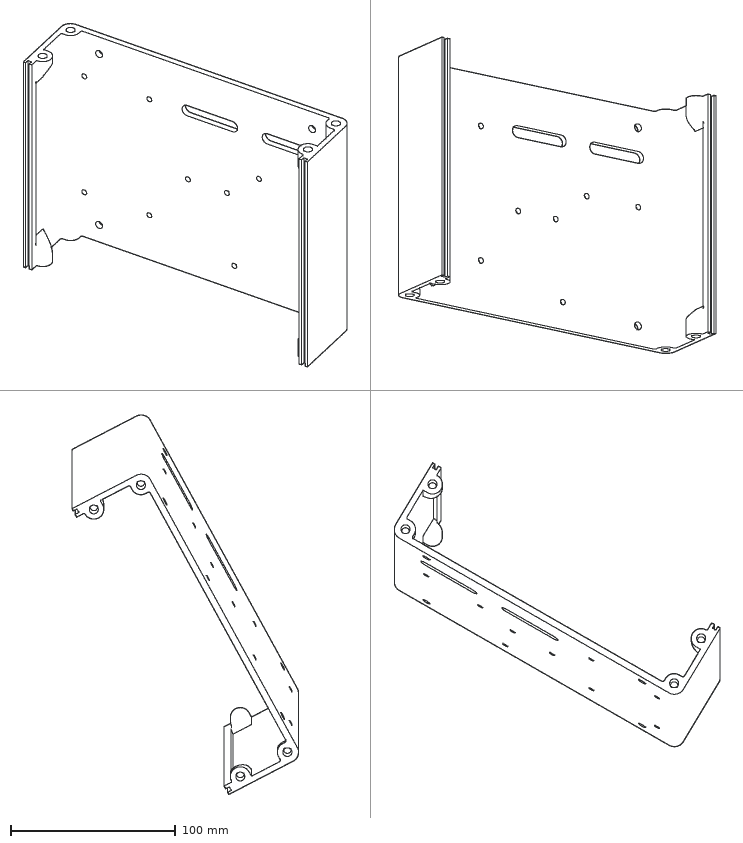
import cadquery as cq
import math

width = 203.2
depth = 50.8
height = 152.5
wall = 3.7
plate = 4.0
outer_radius = 6.3
inner_radius = 2.5

lip_width = 6.0
lip_depth = 4.9
groove_inset = 1.6
groove_width = 2.5
groove_depth = 2.6

boss_radius = 6.0
boss_inset = 6.7
boss_fillet = 1.0
boss_rounding = 1.0
screw_diameter = 5.5
screw_end_diameter = 4.5
screw_depth = 6.0
drill_angle = 118.0
left_tip_length = 3.9
left_slope = 60.0
right_tip_length = 10.5
right_slope = 43.0

mount_diameter = 4.9
mount_spacing_x = 152.5
mount_spacing_z = 127.0
small_diameter = 3.5
small_grid_x = (-86.8, -40.2)
small_grid_z = 43.0
upper_pair = ((38.2, 12.5), (76.5, 12.5))
middle_pair = ((-12.5, -6.3), (15.2, -6.3))
lower_hole = (20.5, -58.5)
slot_length = 39.6
slot_width = 7.5
slot_centres = ((3.0, 44.5), (60.4, 44.5))

SLOPED = "not (#Z or |Z)"

half_width = width / 2
half_height = height / 2
back = depth / 2
front = -back
inner_back = back - plate
inner_wall = wall - half_width
lip_top = front + lip_depth
wall_mid = wall / 2 - half_width
boss_x = boss_inset - half_width
boss_tip = boss_x + boss_radius
rear_boss_y = back - boss_inset
lip_x = lip_width - half_width
lip_fillet = boss_x - lip_x
front_boss_y = lip_top + lip_fillet + boss_radius


def box_between(x0, x1, y0, y1, z0, z1):
    return cq.Workplane("XY").box(x1 - x0, y1 - y0, z1 - z0, centered=False).translate((x0, y0, z0))


def channel():
    """Plate and both walls, rounded along the two rear corners."""
    outside = box_between(-half_width, half_width, front, back, -half_height, half_height)
    outside = outside.edges("|Z and >Y").fillet(outer_radius)
    inside = box_between(inner_wall, -inner_wall, front, inner_back, -half_height, half_height)
    inside = inside.edges("|Z and >Y").fillet(inner_radius)
    return outside.cut(inside)


def left_lip():
    """Thickened front edge of the left wall."""
    return box_between(-half_width, lip_x, front, lip_top, -half_height, half_height)


def left_groove():
    """Groove along the front edge of the left wall."""
    start = groove_inset - half_width
    return box_between(
        start, start + groove_width, front, front + groove_depth, -half_height, half_height
    )


def rear_boss_profile():
    """Boss in the rear corner, running square into the plate and the wall."""
    diagonal = boss_radius * math.sqrt(0.5)
    plate_mid = back - plate / 2
    return (
        cq.Workplane("XY", origin=(0, 0, -half_height))
        .moveTo(wall_mid, plate_mid)
        .lineTo(boss_tip, plate_mid)
        .lineTo(boss_tip, rear_boss_y)
        .threePointArc(
            (boss_x + diagonal, rear_boss_y - diagonal), (boss_x, rear_boss_y - boss_radius)
        )
        .lineTo(wall_mid, rear_boss_y - boss_radius)
        .close()
    )


def front_boss_profile():
    """Half-round boss standing on the wall, with a concave fillet down to the edge of the lip."""
    lip_mid = lip_top - lip_depth / 4
    bend = lip_fillet * (1 - math.sqrt(0.5))
    return (
        cq.Workplane("XY", origin=(0, 0, -half_height))
        .moveTo(wall_mid, lip_mid)
        .lineTo(lip_x, lip_mid)
        .lineTo(lip_x, lip_top)
        .threePointArc(
            (lip_x + bend, lip_top + lip_fillet - bend), (boss_x, front_boss_y - boss_radius)
        )
        .threePointArc((boss_tip, front_boss_y), (boss_x, front_boss_y + boss_radius))
        .lineTo(wall_mid, front_boss_y + boss_radius)
        .close()
    )


def slope_limit(tip_length, slope):
    """Space below a plane that rises from the boss tip toward the wall."""
    rise = (boss_tip + half_width) * math.tan(math.radians(slope))
    tip_z = tip_length - half_height
    return (
        cq.Workplane("XZ", origin=(0, back, 0))
        .moveTo(-half_width, -half_height)
        .lineTo(boss_tip, -half_height)
        .lineTo(boss_tip, tip_z)
        .lineTo(-half_width, tip_z + rise)
        .close()
        .extrude(depth)
    )


def lower_bosses(tip_length, slope):
    """Both bosses at the lower end of the left wall, rounded along the free edges of the slope."""
    limit = slope_limit(tip_length, slope)
    rear = rear_boss_profile().extrude(half_height).intersect(limit)
    rear = rear.faces("%PLANE").faces(SLOPED).edges("not (<X or >Y)").fillet(boss_rounding)
    front_boss = front_boss_profile().extrude(half_height).intersect(limit)
    front_boss = front_boss.faces("%PLANE").faces(SLOPED).edges("not (<X or <Y)").fillet(boss_rounding)
    return rear.union(front_boss)


def blend_rear_bosses(body):
    """Concave fillets where the rear bosses meet the plate and the walls."""
    for side in (-1, 1):
        for end in (-1, 1):
            foot = cq.selectors.NearestToPointSelector((side * boss_tip, inner_back, end * half_height))
            body = body.edges("|Z").edges(foot).fillet(boss_fillet)
    return body


def lower_screw_holes():
    """Tapered blind holes with drill points, entering the lower end of the left wall."""
    end_radius = screw_end_diameter / 2
    point = end_radius / math.tan(math.radians(drill_angle / 2))
    drill = (
        cq.Workplane("XZ")
        .lineTo(screw_diameter / 2, 0)
        .lineTo(end_radius, screw_depth)
        .lineTo(0, screw_depth + point)
        .close()
        .revolve(360, (0, 0, 0), (0, 1, 0))
    )
    rear = drill.translate((boss_x, rear_boss_y, -half_height))
    return drill.translate((boss_x, front_boss_y, -half_height)).add(rear).combine()


def both_ends(lower):
    """Add the mirror image at the upper end."""
    return lower.union(lower.mirror("XY"))


def both_sides(left):
    """Add the mirror image at the right side."""
    return left.union(left.mirror("YZ"))


def plate_drill(points, diameter):
    """Cylinders through the thickness of the back plate."""
    return (
        cq.Workplane("XZ", origin=(0, back, 0)).pushPoints(points).circle(diameter / 2).extrude(plate)
    )


mount_points = [
    (side * mount_spacing_x / 2, end * mount_spacing_z / 2) for side in (-1, 1) for end in (-1, 1)
]
small_points = [(x, end * small_grid_z) for x in small_grid_x for end in (-1, 1)]
small_points += [*upper_pair, *middle_pair, lower_hole]
slots = (
    cq.Workplane("XZ", origin=(0, back, 0))
    .pushPoints(slot_centres)
    .slot2D(slot_length, slot_width)
    .extrude(plate)
)

left_bosses = both_ends(lower_bosses(left_tip_length, left_slope))
right_bosses = both_ends(lower_bosses(right_tip_length, right_slope)).mirror("YZ")

body = channel().union(both_sides(left_lip())).union(left_bosses).union(right_bosses)
result = (
    blend_rear_bosses(body)
    .cut(both_sides(left_groove()))
    .cut(both_sides(both_ends(lower_screw_holes())))
    .cut(plate_drill(mount_points, mount_diameter))
    .cut(plate_drill(small_points, small_diameter))
    .cut(slots)
)